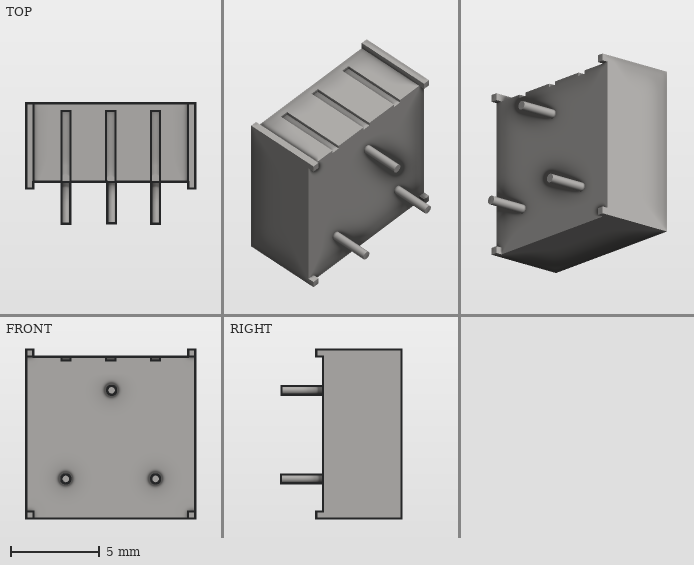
import cadquery as cq

side = 9.56
foot = 0.41
foot_height = 0.38
overall_depth = 4.83
front_face_y = foot_height - overall_depth

pitch = 2.54
groove_width = 0.51
groove_depth = 0.20
groove_back_gap = 0.45

pin_diameter = 0.51
outer_pin_reach = 2.00
middle_pin_shortfall = 0.03
outer_pin_tip_y = -(overall_depth + outer_pin_reach)
middle_pin_tip_y = outer_pin_tip_y + middle_pin_shortfall
middle_pin_x = 0.05
middle_pin_z = 2.47

half = side / 2
top_face_z = half - foot


def block(x_range, y_range, z_range):
    """Box spanning the given coordinate ranges."""
    size = [high - low for low, high in (x_range, y_range, z_range)]
    return cq.Workplane("XY").box(*size, centered=False).translate((x_range[0], y_range[0], z_range[0]))


def make_housing():
    """Block with top rails that run out into the upper feet, lower feet and three top grooves."""
    body = block((-half, half), (front_face_y, 0), (-half, top_face_z))
    for left in (-half, half - foot):
        across = (left, left + foot)
        body = body.union(block(across, (-overall_depth, 0), (top_face_z, half)))
        body = body.union(block(across, (-overall_depth, front_face_y), (-half, -half + foot)))
    for x in (-pitch, 0, pitch):
        body = body.cut(block((x - groove_width / 2, x + groove_width / 2),
                              (front_face_y, -groove_back_gap),
                              (top_face_z - groove_depth, top_face_z)))
    return body


def make_pin(x, z, tip_y):
    """Round pin standing on the front face."""
    return (cq.Workplane("XZ", origin=(x, front_face_y, z))
            .circle(pin_diameter / 2).extrude(front_face_y - tip_y))


housing = make_housing()
pin_places = [
    (-pitch, -pitch, outer_pin_tip_y),
    (pitch, -pitch, outer_pin_tip_y),
    (middle_pin_x, middle_pin_z, middle_pin_tip_y),
]
pins = [make_pin(*place).val() for place in pin_places]

result = cq.Compound.makeCompound([housing.val(), *pins])